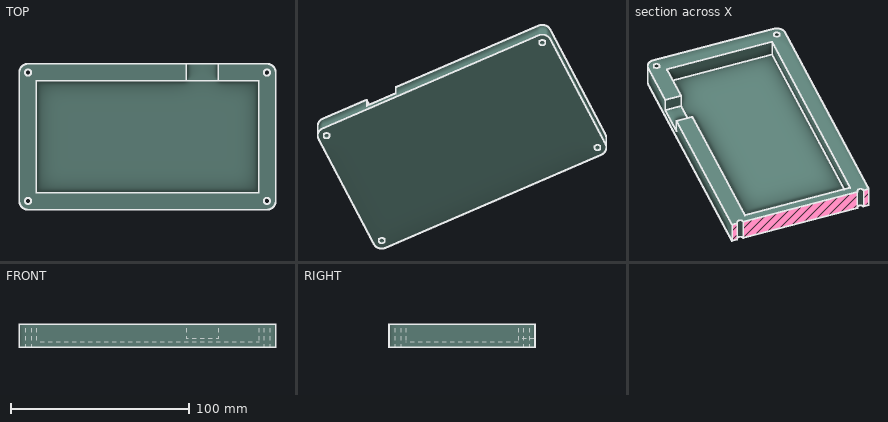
import cadquery as cq

LENGTH = 144.0
WIDTH = 82.0
HEIGHT = 13.0
CORNER_RADIUS = 5.0

WALL = 9.5
FLOOR = 3.0
POCKET_LENGTH = LENGTH - 2 * WALL
POCKET_WIDTH = WIDTH - 2 * WALL
POCKET_DEPTH = HEIGHT - FLOOR

HOLE_DIAMETER = 3.4
HOLE_SPACING_X = LENGTH - 2 * CORNER_RADIUS
HOLE_SPACING_Y = WIDTH - 2 * CORNER_RADIUS

NOTCH_WIDTH = 18.0
NOTCH_CENTER_X = 30.75
NOTCH_DEPTH = 8.0


def make_body():
    """Solid block with rounded vertical edges."""
    block = cq.Workplane("XY").box(LENGTH, WIDTH, HEIGHT, centered=(True, True, False))
    return block.edges("|Z").fillet(CORNER_RADIUS)


def cut_pocket(body):
    """Sink the sharp-cornered pocket into the top face."""
    top = body.faces(">Z").workplane(origin=(0, 0, HEIGHT))
    return top.rect(POCKET_LENGTH, POCKET_WIDTH).cutBlind(-POCKET_DEPTH)


def cut_corner_holes(body):
    """Drill one hole through each corner."""
    top = body.faces(">Z").workplane(origin=(0, 0, HEIGHT))
    corners = top.rect(HOLE_SPACING_X, HOLE_SPACING_Y, forConstruction=True).vertices()
    return corners.hole(HOLE_DIAMETER)


def cut_wall_notch(body):
    """Cut the notch from the outer +Y side through to the pocket."""
    notch = (
        cq.Workplane("XY")
        .box(NOTCH_WIDTH, WALL, NOTCH_DEPTH, centered=(True, False, False))
        .translate((NOTCH_CENTER_X, WIDTH / 2 - WALL, HEIGHT - NOTCH_DEPTH))
    )
    return body.cut(notch)


tray = make_body()
tray = cut_pocket(tray)
tray = cut_corner_holes(tray)
result = cut_wall_notch(tray)